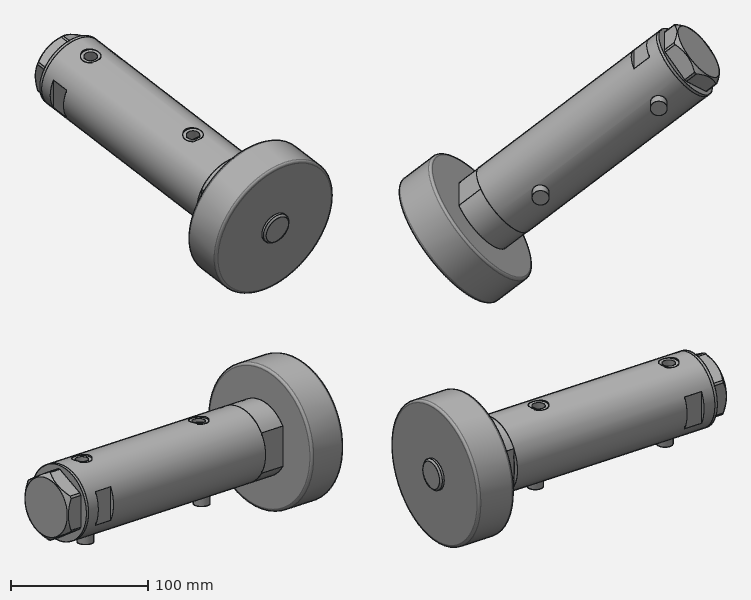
import cadquery as cq
import math

total_length = 246.2
head_end = 12.8
collar_end = 15.0
plug_end = 38.0
journal_start = 152.5
sleeve_end = 190.0
flange_start = 211.2
flange_end = 243.0

hex_across_flats = 46.8
hex_corner_radius = 53.0 / 2
hex_face_radius = 45.5 / 2
hex_chamfer_length = 3.2
plug_radius = 19.7

sleeve_radius = 58.8 / 2
wrench_slot_start = 24.5
wrench_slot_width = 15.0
wrench_slot_flats = 52.7

hole_x = 35.5
hole_spacing = 115.5
hole_radius = 5.0
spotface_radius = 15.0 / 2
spotface_z = 28.3

pin_x = 39.0
pin_radius = 6.2
pin_top_z = -26.5
pin_bottom_z = -37.0
pin_spacing = 115.0

shaft_radius = 14.8
journal_radius = 25.9
neck_flats = 49.7
flange_radius = 112.0 / 2
flange_fillet = 2.0
tip_radius = 24.4 / 2
tip_chamfer = 1.5


def cylinder_x(start, end, radius):
    """Cylinder on the X axis between two axial positions."""
    return cq.Workplane("YZ").workplane(offset=start).circle(radius).extrude(end - start)


def cylinder_z(x, bottom, top, radius):
    """Vertical cylinder centred above the X axis."""
    return cq.Workplane("XY").workplane(offset=bottom).center(x, 0).circle(radius).extrude(top - bottom)


def flat_band(start, end, across_flats):
    """Ring of material outside two flats that face -Y and +Y."""
    length = end - start
    middle = (start + end) / 2
    outer = 2 * sleeve_radius
    stock = cq.Workplane("XY").box(length, outer, outer)
    kept = cq.Workplane("XY").box(length, across_flats, outer)
    return stock.cut(kept).translate((middle, 0, 0))


def pair_positions(first_x, spacing):
    """Axial positions of a feature repeated at both ends of the sleeve."""
    return [first_x, first_x + spacing]


def make_plug():
    """Chamfered hex head with a thin collar and a shank inside the sleeve."""
    across_corners = hex_across_flats / math.cos(math.pi / 6)
    head = (
        cq.Workplane("YZ")
        .transformed(rotate=(0, 0, 90))
        .polygon(6, across_corners)
        .extrude(head_end)
    )
    turned_envelope = (
        cq.Workplane("XY")
        .moveTo(0, 0)
        .lineTo(0, hex_face_radius)
        .lineTo(hex_chamfer_length, hex_corner_radius)
        .lineTo(head_end, hex_corner_radius)
        .lineTo(head_end, 0)
        .close()
        .revolve(360, (0, 0, 0), (1, 0, 0))
    )
    collar = cylinder_x(head_end, collar_end, sleeve_radius)
    shank = cylinder_x(collar_end, plug_end, plug_radius)
    return head.intersect(turned_envelope).union(collar).union(shank)


def make_sleeve():
    """Tube with a stepped bore, wrench slots, oil holes and pin recesses."""
    sleeve = cylinder_x(collar_end, sleeve_end, sleeve_radius)
    sleeve = sleeve.cut(cylinder_x(collar_end, plug_end, plug_radius))
    sleeve = sleeve.cut(cylinder_x(plug_end, journal_start, shaft_radius))
    sleeve = sleeve.cut(cylinder_x(journal_start, sleeve_end, journal_radius))
    wrench_slot_end = wrench_slot_start + wrench_slot_width
    sleeve = sleeve.cut(flat_band(wrench_slot_start, wrench_slot_end, wrench_slot_flats))
    for x in pair_positions(hole_x, hole_spacing):
        sleeve = sleeve.cut(cylinder_z(x, 0, sleeve_radius, hole_radius))
        sleeve = sleeve.cut(cylinder_z(x, spotface_z, sleeve_radius, spotface_radius))
    for x in pair_positions(pin_x, pin_spacing):
        sleeve = sleeve.cut(make_pin(x))
    return sleeve


def make_pin(x):
    """Plain pin standing out below the sleeve."""
    return cylinder_z(x, pin_bottom_z, pin_top_z, pin_radius)


def make_roller():
    """Round flange with a flatted neck, a stepped shaft and a chamfered tip."""
    flange = cylinder_x(flange_start, flange_end, flange_radius).edges().fillet(flange_fillet)
    neck = cylinder_x(sleeve_end, flange_start, sleeve_radius)
    neck = neck.cut(flat_band(sleeve_end, flange_start, neck_flats))
    journal = cylinder_x(journal_start, sleeve_end, journal_radius)
    shaft = cylinder_x(plug_end, journal_start, shaft_radius)
    tip = cylinder_x(flange_end, total_length, tip_radius).faces(">X").chamfer(tip_chamfer)
    return flange.union(neck).union(journal).union(shaft).union(tip)


plug = make_plug()
sleeve = make_sleeve()
roller = make_roller()
pins = [make_pin(x) for x in pair_positions(pin_x, pin_spacing)]

result = cq.Compound.makeCompound(
    [plug.val(), sleeve.val(), roller.val(), *[pin.val() for pin in pins]]
)